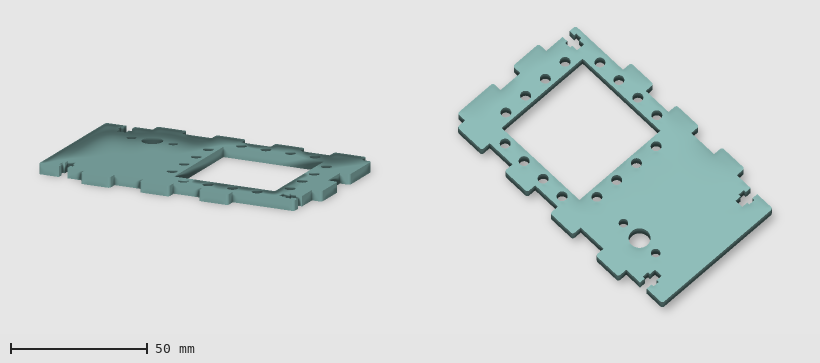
import cadquery as cq

thickness = 4.0
tab_height = 4.0
body_length = 104.0
body_width = 56.0
corner_radius = 1.0
left = -(body_length + tab_height) / 2
right = left + body_length
front = -body_width / 2
back = body_width / 2

tab_width = 12.0
tab_pitch = 24.0
first_tab_start = 19.0
front_tab_count = 3
tab_starts = [first_tab_start + i * tab_pitch for i in range(front_tab_count)]
end_tab_start = tab_starts[-1] + tab_pitch

side_tab_start = 14.85
side_tab_end = 28.0
corner_tab_start = 38.0

slot_width = 3.5
slot_depth = 7.6
nut_width = 5.6
nut_thickness = 2.6
nut_distance = 3.75
edge_slot_x = left + 10.0
side_slot_y = front + 4.8

window_size = 41.0
window_x = left + 72.0
window_y = 0.0
row_offset = 24.0
row_pitch = 10.0
row_count = 4
row_hole_diameter = 4.0

large_hole_diameter = 8.0
large_hole_x = left + 25.0
large_hole_y = front + 43.5
screw_hole_diameter = 3.5
screw_hole_spacing = 17.0


def box_between(x_min, x_max, y_min, y_max):
    """Full-thickness block between the given limits."""
    block = cq.Workplane("XY").box(x_max - x_min, y_max - y_min, thickness, centered=False)
    return block.translate((x_min, y_min, 0))


def make_outline():
    """Body with its finger tabs, all outward corners rounded."""
    plate = box_between(left, right, front, back)
    tab_front = front - tab_height
    tab_back = back + tab_height
    for start in tab_starts:
        tab_left = left + start
        plate = plate.union(box_between(tab_left, tab_left + tab_width, tab_front, tab_back))
    plate = plate.union(box_between(left + end_tab_start, right, front, tab_back))
    for start, end in ((side_tab_start, side_tab_end), (corner_tab_start, body_width)):
        plate = plate.union(box_between(left, right + tab_height, front + start, front + end))

    outer_faces = ("<X", ">X", "<Y", ">Y")
    corners = plate.faces(outer_faces[0]).edges("|Z")
    for selector in outer_faces[1:]:
        corners = corners.add(plate.faces(selector).edges("|Z"))
    front_right_corner = cq.selectors.NearestToPointSelector((right, front, thickness / 2))
    corners = corners.add(plate.edges(front_right_corner))
    return corners.fillet(corner_radius)


def nut_slot(x, y, angle):
    """Slot cutter entering from the edge point (x, y), turned from +Y by the angle in degrees."""
    shank = box_between(-slot_width / 2, slot_width / 2, 0, slot_depth)
    nut = box_between(
        -nut_width / 2,
        nut_width / 2,
        nut_distance - nut_thickness / 2,
        nut_distance + nut_thickness / 2,
    )
    cutter = shank.union(nut)
    return cutter.rotate((0, 0, 0), (0, 0, 1), angle).translate((x, y, 0))


def holes(points, diameter):
    """Through-hole cutters at the given points."""
    return cq.Workplane("XY").pushPoints(points).circle(diameter / 2).extrude(thickness)


def row_points():
    """Centres of the four hole rows around the window."""
    points = []
    for i in range(row_count):
        along = (i - (row_count - 1) / 2) * row_pitch
        for across in (-row_offset, row_offset):
            points.append((window_x + along, window_y + across))
            points.append((window_x + across, window_y + along))
    return points


result = make_outline()

for slot in (
    nut_slot(edge_slot_x, front, 0),
    nut_slot(edge_slot_x, back, 180),
    nut_slot(right, side_slot_y, 90),
):
    result = result.cut(slot)

half_window = window_size / 2
result = result.cut(
    box_between(
        window_x - half_window,
        window_x + half_window,
        window_y - half_window,
        window_y + half_window,
    )
)
result = result.cut(holes(row_points(), row_hole_diameter))

result = result.cut(holes([(large_hole_x, large_hole_y)], large_hole_diameter))
screw_points = [(large_hole_x + side * screw_hole_spacing / 2, large_hole_y) for side in (-1, 1)]
result = result.cut(holes(screw_points, screw_hole_diameter))